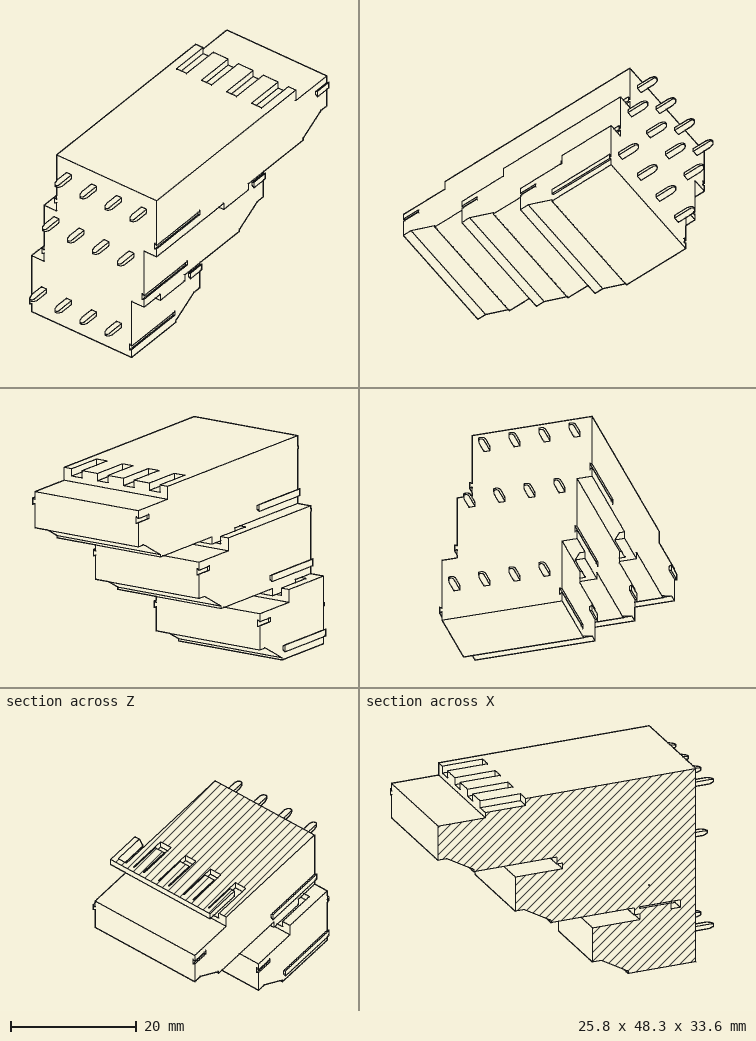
import cadquery as cq


pole_count = 4
row_width = 20.0
pole_pitch = row_width / pole_count
pole_centres = [(pole + 0.5) * pole_pitch for pole in range(pole_count)]
tier_shift = pole_pitch / 2
tier_height = 11.2
bottom_length = 17.95
tier_length_step = 13.45
pin_heights = [5.5, 9.45, 8.2]

shelf_length = 8.2
shelf_drop = 2.13
nose_height = 3.1
nose_length = 1.55
slope_length = 6.25
heel_height = 0.4

pocket_width = 2.05
pocket_length = 7.0
pocket_depth = 1.2

bar_thickness = 0.95
tenon_root = 1.75
tenon_tip = 3.3
tenon_front_gap = 1.5

tongue_height = 0.4
rail_flare = 0.25
front_rail_length = 11.45
front_rail_width = 1.15
front_rail_level = 1.95
rear_rail_length = 3.0
rear_rail_width = 1.1
rear_rail_level = 7.45

pin_width = 1.0
pin_thickness = 0.75
pin_length = 3.5
pin_tip_length = 0.9
pin_tip_thickness = 0.3
pin_nose_radius = 0.45


def box(x, y, z, width, length, height):
    """Box given by its lowest corner and its size."""
    return cq.Workplane("XY").box(width, length, height, centered=False).translate((x, y, z))


def prism_along_y(points, y, length):
    """Prism with an outline in X and Z, running from y towards the rear."""
    return cq.Workplane("XZ", origin=(0, y, 0)).polyline(points).close().extrude(-length)


def body(length):
    """Side outline of a tier, swept over the row width."""
    outline = [
        (0, 0),
        (0, tier_height),
        (length - shelf_length, tier_height),
        (length - shelf_length, tier_height - shelf_drop),
        (length, tier_height - shelf_drop),
        (length, nose_height),
        (length - nose_length, nose_height),
        (length - slope_length, heel_height),
        (length - slope_length, 0),
    ]
    return cq.Workplane("YZ").polyline(outline).close().extrude(row_width)


def pockets(length):
    """One pocket over the centre of each pole."""
    front = length - shelf_length - pocket_length
    floor = tier_height - pocket_depth
    cuts = cq.Workplane("XY")
    for x in pole_centres:
        left = x - pocket_width / 2
        cuts = cuts.union(box(left, front, floor, pocket_width, pocket_length, pocket_depth))
    return cuts


def dovetail(x_root, x_crest, y, level, width, length):
    """Strip along Y, narrow at x_root and wide at x_crest."""
    root = width / 2 - rail_flare
    crest = width / 2
    points = [
        (x_root, level - root),
        (x_root, level + root),
        (x_crest, level + crest),
        (x_crest, level - crest),
    ]
    return prism_along_y(points, y, length)


def front_rail(x):
    """Low strip at the front, pointing to -X from the plane x."""
    return dovetail(x, x - tongue_height, 0, front_rail_level, front_rail_width, front_rail_length)


def rear_rail(x, length):
    """High strip at the rear, pointing to +X from the plane x."""
    y = length - rear_rail_length
    return dovetail(x, x + tongue_height, y, rear_rail_level, rear_rail_width, rear_rail_length)


def locking_feet(lower_length):
    """Bar behind the lower tier's top step, with dovetail tenons reaching forward across its pockets."""
    step = lower_length - shelf_length
    tenon_start = step - pocket_length + tenon_front_gap
    feet = box(0, step, -pocket_depth, row_width, bar_thickness, pocket_depth)
    for edge in range(pole_count + 1):
        x = edge * pole_pitch
        points = [
            (x - tenon_root / 2, 0),
            (x + tenon_root / 2, 0),
            (x + tenon_tip / 2, -pocket_depth),
            (x - tenon_tip / 2, -pocket_depth),
        ]
        feet = feet.union(prism_along_y(points, tenon_start, step - tenon_start))
    return feet.intersect(box(0, 0, -pocket_depth, row_width, lower_length, pocket_depth))


def pin(x, z):
    """Flat pin pointing to -Y, with a narrowing tip that is round in plan and thinned in height."""
    half_width = pin_width / 2
    half_thickness = pin_thickness / 2
    half_tip = pin_tip_thickness / 2
    shoulder = pin_tip_length - pin_length
    nose_start = pin_nose_radius - pin_length
    plan = (
        cq.Workplane("XY", origin=(x, 0, z - half_thickness))
        .moveTo(-half_width, 0)
        .lineTo(half_width, 0)
        .lineTo(half_width, shoulder)
        .lineTo(pin_nose_radius, nose_start)
        .threePointArc((0, -pin_length), (-pin_nose_radius, nose_start))
        .lineTo(-half_width, shoulder)
        .close()
        .extrude(pin_thickness)
    )
    side_points = [
        (0, half_thickness),
        (shoulder, half_thickness),
        (-pin_length, half_tip),
        (-pin_length, -half_tip),
        (shoulder, -half_thickness),
        (0, -half_thickness),
    ]
    side = cq.Workplane("YZ", origin=(x - half_width, 0, z)).polyline(side_points).close().extrude(pin_width)
    return plan.intersect(side)


def tier(index):
    """Complete tier in its own coordinates, base at Z = 0."""
    length = bottom_length + index * tier_length_step
    shape = body(length).cut(pockets(length))
    shape = shape.union(front_rail(0)).cut(front_rail(row_width))
    shape = shape.union(rear_rail(row_width, length)).cut(rear_rail(0, length))
    if index > 0:
        shape = shape.union(locking_feet(length - tier_length_step))
    for x in pole_centres:
        shape = shape.union(pin(x, pin_heights[index]))
    return shape


result = tier(0)
for index in range(1, len(pin_heights)):
    result = result.union(tier(index).translate((index * tier_shift, 0, index * tier_height)))